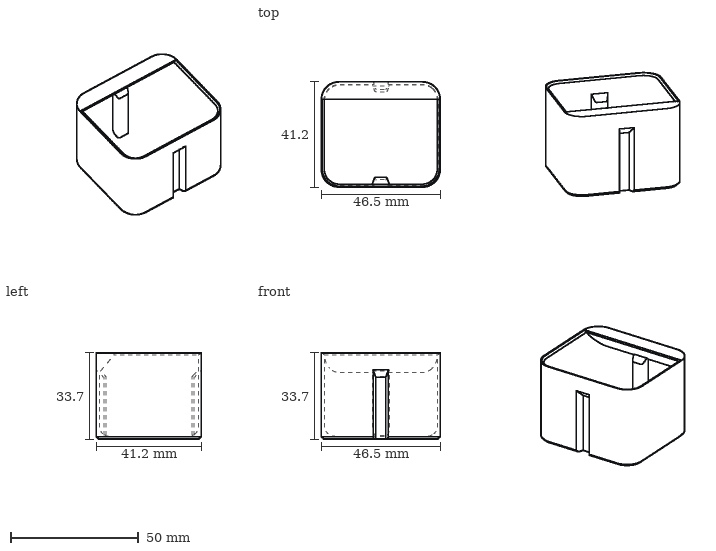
import cadquery as cq
import math

length = 46.5
width = 41.2
height = 33.7
corner_radius = 7.0
base_chamfer = 1.0

wall = 1.2
floor_thickness = 1.2
floor_fillet = 4.0
rim_land = 0.4

ledge_depth = 6.9
ledge_lip = 0.8
ledge_slope_drop = 6.8

groove_width = 6.0
groove_depth = 3.0
groove_height = 27.1
groove_taper = 1.08

rib_skin = 0.85
rib_side_skin = 0.75
rib_corner_radius = 0.8

front = -width / 2
rear = width / 2
side_slope = groove_taper / groove_depth
rim_bevel = wall - rim_land


def rounded_block(inset, bottom, top):
    """Vertical prism with rounded corners, set in from the outer walls."""
    return (
        cq.Workplane("XY", origin=(0, 0, bottom))
        .rect(length - 2 * inset, width - 2 * inset)
        .extrude(top - bottom)
        .edges("|Z")
        .fillet(corner_radius - inset)
    )


def front_wedge(half_mouth, depth, top):
    """Bar growing inward from the front face, with tapered sides and a 45 degree top."""
    half_bottom = half_mouth - side_slope * depth
    plan = [
        (-half_mouth, front),
        (-half_bottom, front + depth),
        (half_bottom, front + depth),
        (half_mouth, front),
    ]
    side = [
        (front, 0),
        (front, top),
        (front + depth, top - depth),
        (front + depth, 0),
    ]
    bar = cq.Workplane("XY").polyline(plan).close().extrude(top)
    side_profile = cq.Workplane("YZ").polyline(side).close().extrude(half_mouth, both=True)
    return bar.intersect(side_profile)


def on_both_walls(shape):
    """Repeat a front wall feature on the rear wall."""
    return shape.union(shape.mirror("XZ"))


def make_grooves():
    return on_both_walls(front_wedge(groove_width / 2, groove_depth, groove_height))


def make_ribs():
    """Groove shape enlarged by the rib skin, with its inner vertical edges rounded."""
    half_mouth = groove_width / 2 + rib_side_skin
    top = groove_height + rib_skin * math.sqrt(2)
    rib = front_wedge(half_mouth, groove_depth + rib_skin, top)
    rib = rib.faces(">Y").edges("|Z").fillet(rib_corner_radius)
    return on_both_walls(rib).intersect(rounded_block(wall / 2, base_chamfer, height))


def make_cavity():
    """Open pocket with a filleted floor and a 45 degree bevel around the rim."""
    pocket = rounded_block(wall, floor_thickness, height).faces("<Z").edges().fillet(floor_fillet)
    flare_top = height + rim_bevel
    flare = rounded_block(rim_land, height - rim_bevel, flare_top).faces("<Z").chamfer(rim_bevel)
    return pocket.union(flare)


def make_ledge():
    """Ledge level with the rim, its underside sloping down to the rear wall."""
    ledge_front = rear - ledge_depth
    lip_bottom = height - ledge_lip
    slope_bottom = lip_bottom - ledge_slope_drop
    profile = [
        (ledge_front, height),
        (ledge_front, lip_bottom),
        (rear - wall, slope_bottom),
        (rear, slope_bottom),
        (rear, height),
    ]
    ledge = cq.Workplane("YZ").polyline(profile).close().extrude(length / 2, both=True)
    return ledge.intersect(rounded_block(0, 0, height))


block = rounded_block(0, 0, height).faces("<Z").chamfer(base_chamfer)
result = block.cut(make_cavity()).union(make_ledge()).union(make_ribs()).cut(make_grooves())